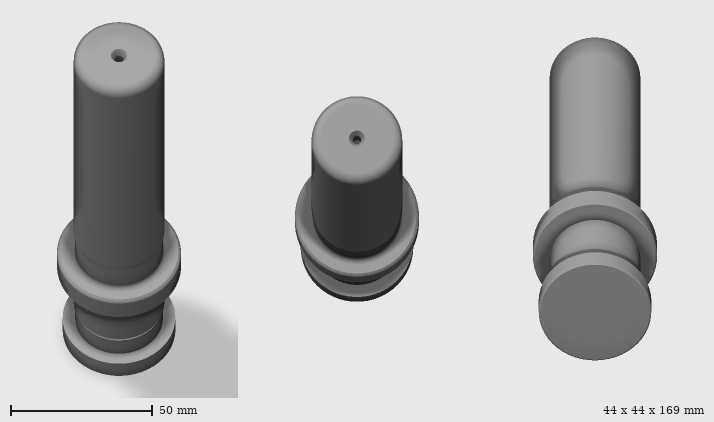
import cadquery as cq
import math

total_height = 169.0

flange_radius = 20.0
flange_thickness = 8.0
flange_chamfer = 0.5
neck_radius = 15.5
disc_height = 16.0

pillar_radius = 16.0
lead_in_radius = 14.4
lead_in_height = 1.5
top_rounding = 3.4

collar_radius = 22.0
collar_bottom = 39.0
collar_thickness = 10.0
collar_top = collar_bottom + collar_thickness
collar_top_chamfer = 0.7
collar_edge_break_width = 0.25
collar_edge_break_height = 0.5
collar_bottom_chamfer = 0.5

lower_undercut_radius = 15.2
lower_undercut_height = 0.7
lower_undercut_taper = 0.8
relief_radius = 15.5
relief_top = 61.0
relief_fillet = 1.0

centre_mouth_radius = 2.9
centre_drill_radius = 1.5
centre_cone_half_angle = 30.0
centre_drill_depth = 6.8
drill_tip_half_angle = 59.0


def cone_height(large_radius, small_radius, half_angle):
    """Axial length of a cone between two radii."""
    return (large_radius - small_radius) / math.tan(math.radians(half_angle))


def make_retaining_disc():
    flange = (
        cq.Workplane("XY")
        .circle(flange_radius)
        .extrude(flange_thickness)
        .faces("<Z")
        .chamfer(flange_chamfer)
    )
    neck = cq.Workplane("XY").circle(neck_radius).extrude(disc_height)
    return flange.union(neck)


def make_centre_hole():
    countersink_end = total_height - cone_height(
        centre_mouth_radius, centre_drill_radius, centre_cone_half_angle
    )
    drill_end = countersink_end - centre_drill_depth
    tip = drill_end - cone_height(centre_drill_radius, 0, drill_tip_half_angle)
    return (
        cq.Workplane("XZ")
        .moveTo(0, total_height)
        .lineTo(centre_mouth_radius, total_height)
        .lineTo(centre_drill_radius, countersink_end)
        .lineTo(centre_drill_radius, drill_end)
        .lineTo(0, tip)
        .close()
        .revolve()
    )


def make_guide_pillar():
    undercut_top = collar_bottom - lower_undercut_height
    collar_shoulder = collar_top - collar_top_chamfer
    shoulder_radius = collar_radius - collar_edge_break_width
    profile = (
        cq.Workplane("XZ")
        .moveTo(0, disc_height)
        .lineTo(lead_in_radius, disc_height)
        .lineTo(pillar_radius, disc_height + lead_in_height)
        .lineTo(pillar_radius, undercut_top - lower_undercut_taper)
        .lineTo(lower_undercut_radius, undercut_top)
        .lineTo(lower_undercut_radius, collar_bottom)
        .lineTo(collar_radius - collar_bottom_chamfer, collar_bottom)
        .lineTo(collar_radius, collar_bottom + collar_bottom_chamfer)
        .lineTo(collar_radius, collar_shoulder - collar_edge_break_height)
        .lineTo(shoulder_radius, collar_shoulder)
        .lineTo(shoulder_radius - collar_top_chamfer, collar_top)
        .lineTo(relief_radius + relief_fillet, collar_top)
        .radiusArc((relief_radius, collar_top + relief_fillet), relief_fillet)
        .lineTo(relief_radius, relief_top)
        .lineTo(pillar_radius, relief_top + pillar_radius - relief_radius)
        .lineTo(pillar_radius, total_height - top_rounding)
        .radiusArc((pillar_radius - top_rounding, total_height), -top_rounding)
        .lineTo(0, total_height)
        .close()
    )
    return profile.revolve().cut(make_centre_hole())


retaining_disc = make_retaining_disc()
guide_pillar = make_guide_pillar()

result = cq.Compound.makeCompound([retaining_disc.val(), guide_pillar.val()])